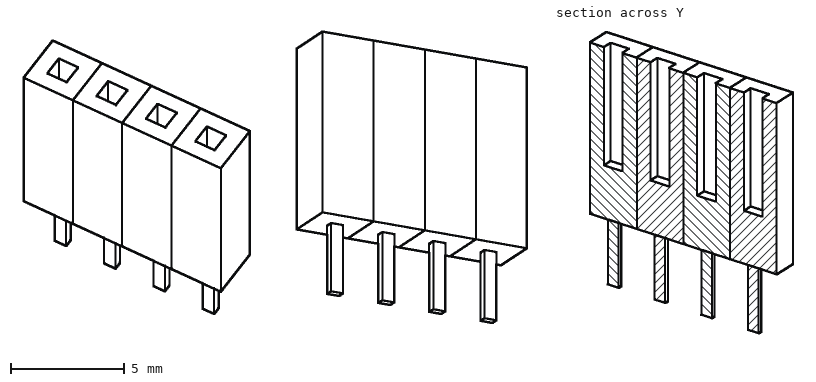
import cadquery as cq

module_count = 4
pitch = 2.54
overall_height = 11.7

housing_depth = 2.5
housing_height = 8.5

socket_side = 1.0
socket_depth = 5.85

pin_width = 0.6
pin_thickness = 0.4
pin_length = overall_height - housing_height


def make_housing(center_x):
    """Block standing on Z = 0 with a square blind socket in its top."""
    block = cq.Workplane("XY").box(
        pitch, housing_depth, housing_height, centered=(True, True, False)
    )
    socket = (
        cq.Workplane("XY")
        .workplane(offset=housing_height - socket_depth)
        .rect(socket_side, socket_side)
        .extrude(socket_depth)
    )
    return block.cut(socket).translate((center_x, 0, 0))


def make_pin(center_x):
    """Straight pin hanging from the underside of its housing."""
    return (
        cq.Workplane("XY")
        .center(center_x, 0)
        .rect(pin_width, pin_thickness)
        .extrude(-pin_length)
    )


first_center_x = -pitch * (module_count - 1) / 2
module_centers = [first_center_x + index * pitch for index in range(module_count)]

housings = [make_housing(center_x).val() for center_x in module_centers]
pins = [make_pin(center_x).val() for center_x in module_centers]

result = cq.Compound.makeCompound([*housings, *pins])